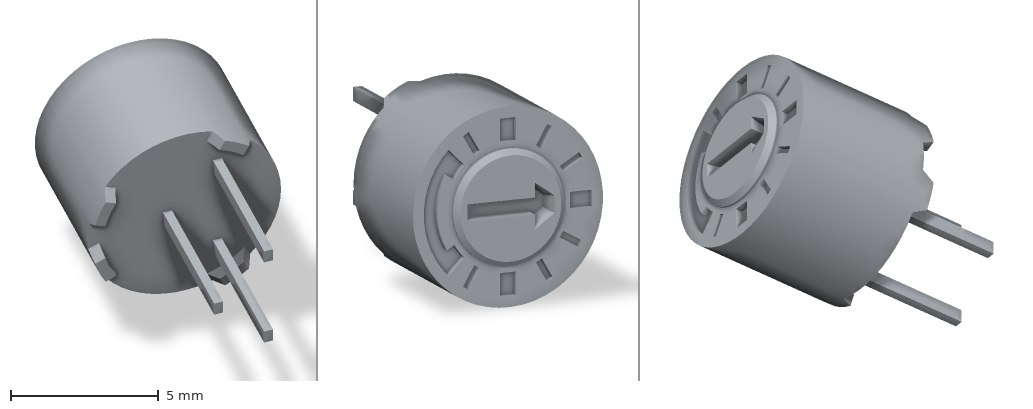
import cadquery as cq
import math


total_length = 10.35
rotor_protrusion = 0.26
housing_front = rotor_protrusion
housing_rear = 5.35
foot_height = 0.5
housing_length = housing_rear - housing_front

housing_radius = 7.0 / 2
dial_radius = 6.2 / 2
foot_base_width = 1.57
foot_tip_width = 0.99
clearing_radius = 2 * housing_radius
foot_angles = [60, 157.5, 202.5, 300]

mark_depth = 0.25
mark_inner_radius = 2.28
major_mark_width = 0.6
minor_mark_width = 0.25
major_mark_angles = [90, 180, 270]
minor_mark_angles = [60, 120, 150, 210, 240, 300]

range_arc_inner_radius = 2.6
range_pad_angle = 30
range_end_angle = 45

rotor_radius = 4.1 / 2
rotor_chamfer = 0.2
rotor_length = 0.99
slot_depth = 0.62
slot_half_length = 1.6
slot_shaft_half_width = 0.3
slot_head_half_width = 0.81
slot_head_start = -0.89
slot_wall_run = 0.17

pin_width_z = 0.5
pin_thickness_y = 0.32
pin_pitch = 1.8
pin_row_y = 1.2
pin_positions = [
    (pin_row_y, pin_pitch),
    (pin_row_y - pin_pitch, 0),
    (pin_row_y, -pin_pitch),
]


def turn(shape, angle):
    """Rotate a shape about the X axis."""
    return shape.rotate((0, 0, 0), (1, 0, 0), angle)


def cross_section(x):
    """Workplane across the axis at x, with local axes along +Y and +Z."""
    return cq.Workplane("YZ", origin=(x, 0, 0))


def polar_point(radius, angle):
    return (radius * math.cos(math.radians(angle)), radius * math.sin(math.radians(angle)))


def make_dial_mark(width, angle):
    """Rectangular radial recess between the inner and outer dial radii."""
    mark = (
        cross_section(housing_front)
        .center((mark_inner_radius + dial_radius) / 2, 0)
        .rect(dial_radius - mark_inner_radius, width)
        .extrude(mark_depth)
    )
    return turn(mark, angle)


def make_arc_recess(inner_radius, start_angle, end_angle):
    """Recess shaped as a ring sector reaching out to the dial radius."""
    middle_angle = (start_angle + end_angle) / 2
    return (
        cross_section(housing_front)
        .moveTo(*polar_point(inner_radius, start_angle))
        .lineTo(*polar_point(dial_radius, start_angle))
        .threePointArc(polar_point(dial_radius, middle_angle), polar_point(dial_radius, end_angle))
        .lineTo(*polar_point(inner_radius, end_angle))
        .threePointArc(polar_point(inner_radius, middle_angle), polar_point(inner_radius, start_angle))
        .close()
        .extrude(mark_depth)
    )


def make_range_mark():
    mark = make_arc_recess(range_arc_inner_radius, -range_pad_angle, range_pad_angle)
    mark = mark.union(make_arc_recess(mark_inner_radius, range_pad_angle, range_end_angle))
    return mark.union(make_arc_recess(mark_inner_radius, -range_end_angle, -range_pad_angle))


def make_foot_wedge(angle):
    """Radial wedge that tapers in width towards +X and bounds the sides of one foot."""
    wedge = (
        cq.Workplane("XZ")
        .moveTo(housing_rear, -foot_base_width / 2)
        .lineTo(housing_rear + foot_height, -foot_tip_width / 2)
        .lineTo(housing_rear + foot_height, foot_tip_width / 2)
        .lineTo(housing_rear, foot_base_width / 2)
        .close()
        .extrude(-clearing_radius)
    )
    return turn(wedge, angle)


def make_body_with_feet():
    """Cylinder whose rear end is cleared away except for the feet along its rim."""
    body = cross_section(housing_front).circle(housing_radius).extrude(housing_length + foot_height)
    cleared = cross_section(housing_rear).circle(clearing_radius).circle(dial_radius).extrude(foot_height)
    for angle in foot_angles:
        cleared = cleared.cut(make_foot_wedge(angle))
    core = cross_section(housing_rear).circle(dial_radius).extrude(foot_height)
    return body.cut(cleared).cut(core)


def make_housing():
    body = make_body_with_feet()
    for angle in major_mark_angles:
        body = body.cut(make_dial_mark(major_mark_width, angle))
    for angle in minor_mark_angles:
        body = body.cut(make_dial_mark(minor_mark_width, angle))
    body = body.cut(make_range_mark())
    rotor_recess = cross_section(0).circle(rotor_radius).extrude(rotor_length)
    return body.cut(rotor_recess)


def arrow_outline(wall_run):
    """Arrow pointing to -Y, with its tail and head edges moved inwards by wall_run."""
    tail = slot_half_length - wall_run
    tip = -slot_half_length + wall_run
    head_slope = (slot_head_half_width - slot_shaft_half_width) / (slot_half_length + slot_head_start)
    head_edge_shift = wall_run * math.hypot(1, head_slope)
    head_half_width = slot_head_half_width - head_edge_shift
    tip_half_width = slot_shaft_half_width + wall_run * head_slope - head_edge_shift
    upper = [
        (tail, slot_shaft_half_width),
        (slot_head_start, slot_shaft_half_width),
        (slot_head_start, head_half_width),
        (tip, tip_half_width),
    ]
    lower = [(y, -z) for y, z in reversed(upper)]
    return upper + lower


def make_arrow_slot():
    return (
        cross_section(0)
        .polyline(arrow_outline(0))
        .close()
        .workplane(offset=slot_depth)
        .polyline(arrow_outline(slot_wall_run))
        .close()
        .loft(ruled=True)
    )


def make_rotor():
    disc = cross_section(0).circle(rotor_radius).extrude(rotor_length)
    disc = disc.faces("<X").chamfer(rotor_chamfer)
    return disc.cut(make_arrow_slot())


def make_pin(y, z):
    """Straight rectangular pin standing on the rear face of the housing."""
    return (
        cross_section(housing_rear)
        .center(y, z)
        .rect(pin_thickness_y, pin_width_z)
        .extrude(total_length - housing_rear)
    )


housing = make_housing()
rotor = make_rotor()
pins = [make_pin(y, z) for y, z in pin_positions]

result = cq.Compound.makeCompound([housing.val(), rotor.val(), *[pin.val() for pin in pins]])